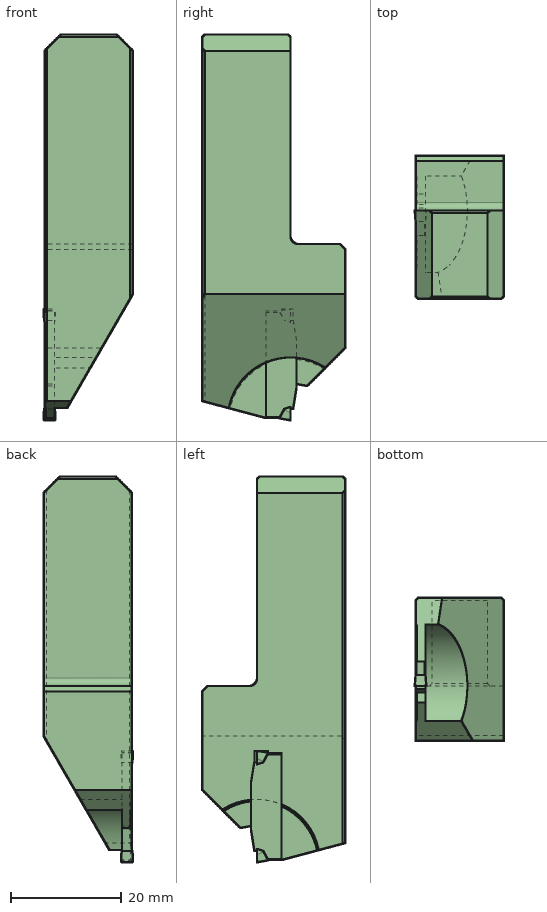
import cadquery as cq
import math

total_height = 70.0
shank_size = 16.0
head_reach = 26.0
head_top = 32.0
shank_top_bevel = 3.0
edge_chamfer = 0.5
inner_fillet = 1.5
outer_chamfer = 1.0

front_bottom = 3.5
head_bottom = 13.15
head_toe_y = 19.05
toe_rise_angle = 10.0
flank_top = 22.9
flank_angle = 30.0

clearance_radius = 11.4
side_recess = 0.3
recess_wall_run = 0.3
blade_face = 1.8

cutting_edge_y = shank_size
insert_seat_y = 11.55
insert_back_y = 17.15
insert_shoulder_y = 16.5
body_end = 0.4
back_flat_start = 6.0
rake_length = 2.1
tip_length = 2.45
tip_taper_start = 1.3
tip_corner = 0.17
tip_front_y = 14.0
tip_root_y = 14.9
tip_relief = 0.35
tip_overhang = 0.17
end_chamfer = 0.2
insert_length = 20.2
insert_middle = insert_length / 2


def prism(points, x_start, x_end):
    """Extrude a (Y, Z) outline along X."""
    outline = cq.Workplane("YZ", origin=(x_start, 0, 0)).polyline(points).close()
    return outline.extrude(x_end - x_start)


def other_end(shape):
    """Mirror a shape to the opposite end of the insert."""
    return shape.mirror("XY", (0, 0, insert_middle))


def tip_block():
    """Lower cutting tip: widest at the cutting edge, tapering into the body along Y and Z."""
    side = prism(
        [
            (cutting_edge_y, 0),
            (cutting_edge_y, tip_length),
            (tip_root_y, rake_length),
            (tip_front_y, body_end),
            (tip_front_y, tip_relief),
        ],
        -tip_overhang,
        blade_face + tip_overhang,
    )
    plan = (
        cq.Workplane("XY")
        .polyline(
            [
                (-tip_overhang, cutting_edge_y),
                (blade_face + tip_overhang, cutting_edge_y),
                (blade_face, tip_front_y),
                (0, tip_front_y),
            ]
        )
        .close()
        .extrude(tip_length)
    )
    elevation = (
        cq.Workplane("XZ")
        .polyline(
            [
                (tip_corner - tip_overhang, 0),
                (-tip_overhang, tip_corner),
                (-tip_overhang, tip_taper_start),
                (0, tip_length),
                (blade_face, tip_length),
                (blade_face + tip_overhang, tip_taper_start),
                (blade_face + tip_overhang, tip_corner),
                (blade_face + tip_overhang - tip_corner, 0),
            ]
        )
        .close()
        .extrude(-cutting_edge_y)
    )
    return side.intersect(plan).intersect(elevation)


def make_insert():
    body = (
        prism(
            [
                (insert_seat_y, body_end),
                (cutting_edge_y, body_end),
                (cutting_edge_y, rake_length),
                (insert_shoulder_y, rake_length),
                (insert_back_y, back_flat_start),
                (insert_back_y, insert_length - back_flat_start),
                (insert_shoulder_y, insert_length - rake_length),
                (cutting_edge_y, insert_length - rake_length),
                (cutting_edge_y, insert_length - body_end),
                (insert_seat_y, insert_length - body_end),
            ],
            0,
            blade_face,
        )
        .faces("<Z or >Z")
        .edges("|Y")
        .chamfer(end_chamfer)
    )
    tip = tip_block()
    return body.union(tip).union(other_end(tip))


def insert_pocket():
    """Pocket around the insert, with chip room beside the upper tip."""
    return prism(
        [
            (insert_seat_y, 0),
            (insert_shoulder_y, 0),
            (insert_shoulder_y, rake_length),
            (insert_back_y, back_flat_start),
            (insert_back_y, insert_length - back_flat_start),
            (insert_shoulder_y, insert_length - rake_length),
            (insert_shoulder_y, insert_length),
            (tip_front_y, insert_length),
            (tip_front_y, insert_length - body_end),
            (insert_seat_y, insert_length - body_end),
        ],
        0,
        blade_face,
    )


def holder_blank():
    toe_z = head_bottom - (head_reach - head_toe_y)
    toe_slope = math.tan(math.radians(toe_rise_angle))
    slot_z = toe_z + (head_toe_y - insert_back_y) * toe_slope
    blank = prism(
        [
            (0, front_bottom),
            (insert_seat_y, body_end),
            (cutting_edge_y, body_end),
            (insert_back_y, slot_z),
            (head_toe_y, toe_z),
            (head_reach, head_bottom),
            (head_reach, head_top),
            (shank_size, head_top),
            (shank_size, total_height),
            (0, total_height),
        ],
        0,
        shank_size,
    )
    inner_corner = cq.NearestToPointSelector((shank_size / 2, shank_size, head_top))
    outer_corner = cq.NearestToPointSelector((shank_size / 2, head_reach, head_top))
    blank = blank.edges(inner_corner).fillet(inner_fillet)
    blank = blank.edges(outer_corner).chamfer(outer_chamfer)
    return blank.faces("<Y").edges("|Z").chamfer(edge_chamfer)


def bevel_shank_top(holder):
    bevel_start = total_height - shank_top_bevel
    for side_x, inward in ((0, 1), (shank_size, -1)):
        wedge = (
            cq.Workplane("XZ")
            .polyline(
                [
                    (side_x, bevel_start),
                    (side_x, total_height),
                    (side_x + inward * shank_top_bevel, total_height),
                ]
            )
            .close()
            .extrude(-shank_size)
        )
        holder = holder.cut(wedge)
    return holder.faces(">Z").edges("|X").chamfer(edge_chamfer)


def flank_wedge():
    """Material removed below the sloping +X flank."""
    run = flank_top * math.tan(math.radians(flank_angle))
    return (
        cq.Workplane("XZ")
        .polyline([(shank_size, flank_top), (shank_size, 0), (shank_size - run, 0)])
        .close()
        .extrude(-head_reach)
    )


def clearance_disc(x_start, x_end):
    """Disc along X, centred on the lower cutting edge."""
    plane = cq.Workplane("YZ", origin=(x_start, cutting_edge_y, 0))
    return plane.circle(clearance_radius).extrude(x_end - x_start)


def side_clearance():
    """Shallow conical-walled recess in the -X face."""
    return (
        cq.Workplane("YZ", origin=(0, cutting_edge_y, 0))
        .circle(clearance_radius)
        .workplane(offset=side_recess)
        .circle(clearance_radius - recess_wall_run)
        .loft()
    )


def make_holder(insert):
    holder = bevel_shank_top(holder_blank())
    holder = holder.cut(flank_wedge())
    holder = holder.cut(clearance_disc(blade_face, shank_size))
    holder = holder.cut(side_clearance())
    return holder.cut(insert_pocket()).cut(insert)


insert = make_insert()
holder = make_holder(insert)

result = cq.Compound.makeCompound([holder.val(), insert.val()])